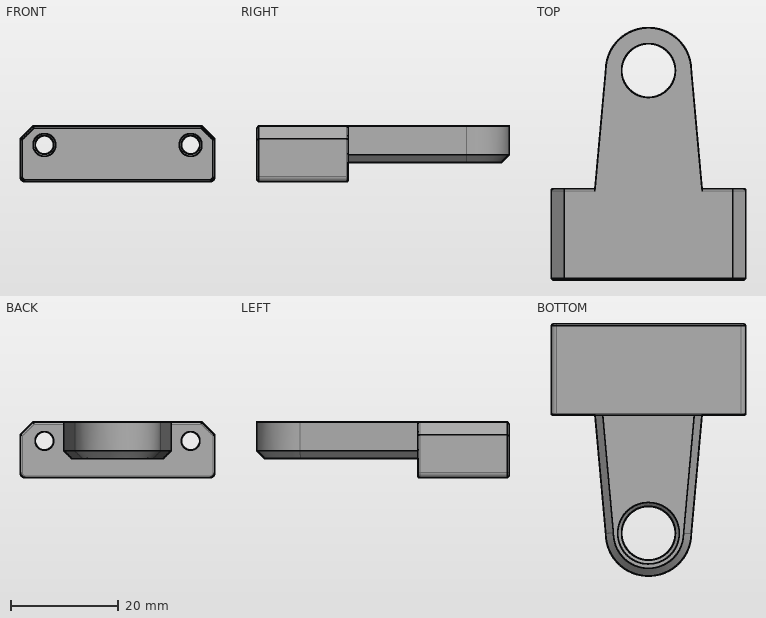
import cadquery as cq

block_width = 36.25
block_depth = 17.0
block_height = 10.4
shoulder_chamfer = 2.4
bottom_edge_fillet = 1.0
front_edge_chamfer = 0.38
rear_edge_fillet = 0.38

total_length = 47.0
lug_end_radius = 8.0
lug_root_half_width = 10.0
lug_thickness = 6.8
lug_bottom_chamfer = 1.45
lug_hole_radius = 5.0
lug_hole_chamfer = 0.75

screw_spacing = 27.2
screw_depth_below_top = 3.52
screw_hole_radius = 1.7
screw_hole_chamfer = 0.4

lug_end_y = total_length - lug_end_radius
lug_bottom_z = block_height - lug_thickness


def make_block():
    """Block with sloped shoulders, rounded bottom and rear edges, and a chamfered front."""
    block = cq.Workplane("XY").box(block_width, block_depth, block_height, centered=(True, False, False))
    block = block.edges("|Y and >Z").chamfer(shoulder_chamfer)
    block = block.edges("|Y and <Z").fillet(bottom_edge_fillet)
    block = block.faces("<Y").edges().chamfer(front_edge_chamfer)
    return block.faces(">Y").edges().fillet(rear_edge_fillet)


def make_lug():
    """Lug with tapered sides, a semicircular end and a chamfered underside."""
    root_y = block_depth - rear_edge_fillet
    lug = (
        cq.Workplane("XY", origin=(0, 0, lug_bottom_z))
        .moveTo(-lug_root_half_width, root_y)
        .lineTo(-lug_end_radius, lug_end_y)
        .threePointArc((0, total_length), (lug_end_radius, lug_end_y))
        .lineTo(lug_root_half_width, root_y)
        .close()
        .extrude(lug_thickness)
    )
    return lug.faces("<Z").edges("not <Y").chamfer(lug_bottom_chamfer)


def cut_lug_hole(body):
    """Vertical through hole, chamfered at the underside of the lug."""
    bottom = cq.Vector(0, lug_end_y, lug_bottom_z)
    bore = cq.Solid.makeCylinder(lug_hole_radius, lug_thickness, bottom)
    mouth_radius = lug_hole_radius + lug_hole_chamfer
    lead_in = cq.Solid.makeCone(mouth_radius, lug_hole_radius, lug_hole_chamfer, bottom)
    return body.cut(cq.Workplane(bore)).cut(cq.Workplane(lead_in))


def cut_screw_holes(body):
    """Through holes with a small chamfer at the front mouth."""
    mouth_radius = screw_hole_radius + screw_hole_chamfer
    hole_z = block_height - screw_depth_below_top
    along_y = cq.Vector(0, 1, 0)
    for hole_x in (-screw_spacing / 2, screw_spacing / 2):
        mouth = cq.Vector(hole_x, 0, hole_z)
        bore = cq.Solid.makeCylinder(screw_hole_radius, block_depth, mouth, along_y)
        lead_in = cq.Solid.makeCone(mouth_radius, screw_hole_radius, screw_hole_chamfer, mouth, along_y)
        body = body.cut(cq.Workplane(bore)).cut(cq.Workplane(lead_in))
    return body


result = make_block().union(make_lug())
result = cut_lug_hole(result)
result = cut_screw_holes(result)